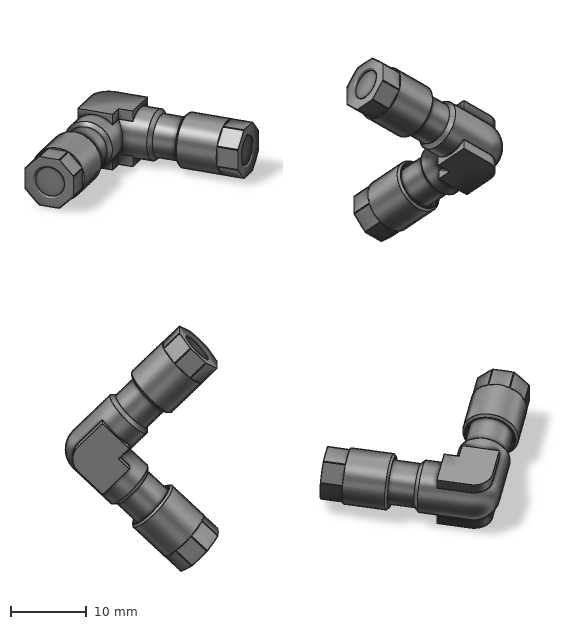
import cadquery as cq
body_radius = 3.5
neck_radius = 2.95
collar_radius = 3.75
overall_length = 23.75
arm_length = overall_length - collar_radius
body_length = 6.94
body_taper = 0.57
collar_start = 11.0
collar_chamfer = 0.3
nut_start = 17.0

clearance_radius = 3.28
clearance_depth = 1.0

nut_width = 2 * body_radius
nut_sides = 8
nut_face_radius = 3.45
nut_chamfer = 0.02

mouth_radius = 2.07
mouth_rim = 0.3

pad_outer_height = 8.0
pad_inner_height = 4.99
pad_back = 2.5
pad_reach = 4.51
pad_corner_radius = pad_back


def make_shank():
    """Revolved body, tapered shoulder, neck and collar along +X."""
    profile = [
        (0, 0),
        (0, body_radius),
        (body_length, body_radius),
        (body_length + body_taper, neck_radius),
        (collar_start + clearance_depth, neck_radius),
        (collar_start + clearance_depth, clearance_radius),
        (collar_start, clearance_radius),
        (collar_start, collar_radius - collar_chamfer),
        (collar_start + collar_chamfer, collar_radius),
        (nut_start, collar_radius),
        (nut_start, 0),
    ]
    return cq.Workplane("XY").polyline(profile).close().revolve(360, (0, 0, 0), (1, 0, 0))


def make_nut():
    """Octagon trimmed to a disc with a shallow conical end."""
    octagon = (
        cq.Workplane("YZ", origin=(nut_start, 0, 0))
        .polygon(nut_sides, nut_width, circumscribed=True)
        .extrude(arm_length - nut_start)
    )
    trim_profile = [
        (nut_start, 0),
        (nut_start, collar_radius),
        (arm_length - nut_chamfer, collar_radius),
        (arm_length, nut_face_radius),
        (arm_length, 0),
    ]
    trim = cq.Workplane("XY").polyline(trim_profile).close().revolve(360, (0, 0, 0), (1, 0, 0))
    return octagon.intersect(trim)


def make_mouth():
    """Shallow round recess whose wall is one convex radius."""
    return (
        cq.Workplane("XY")
        .moveTo(arm_length, 0)
        .lineTo(arm_length, mouth_radius + mouth_rim)
        .radiusArc((arm_length - mouth_rim, mouth_radius), mouth_rim)
        .lineTo(arm_length - mouth_rim, 0)
        .close()
        .revolve(360, (0, 0, 0), (1, 0, 0))
    )


def make_pads():
    """L-shaped pads, one on each side of the corner, separated by the body height."""
    outline = [
        (-pad_back, pad_back),
        (pad_reach, pad_back),
        (pad_reach, -pad_back),
        (pad_back, -pad_back),
        (pad_back, -pad_reach),
        (-pad_back, -pad_reach),
    ]
    pads = (
        cq.Workplane("XY")
        .polyline(outline)
        .close()
        .extrude(pad_outer_height / 2, both=True)
        .edges("|Z and <X and >Y")
        .fillet(pad_corner_radius)
    )
    gap_side = 2 * pad_reach
    gap = cq.Workplane("XY").box(gap_side, gap_side, pad_inner_height)
    return pads.cut(gap)


arm_x = make_shank().union(make_nut()).cut(make_mouth())
arm_y = arm_x.mirror("YZ").rotate((0, 0, 0), (0, 0, 1), 90)
ball = cq.Workplane("XY").sphere(body_radius)

result = arm_x.union(arm_y).union(ball).union(make_pads())